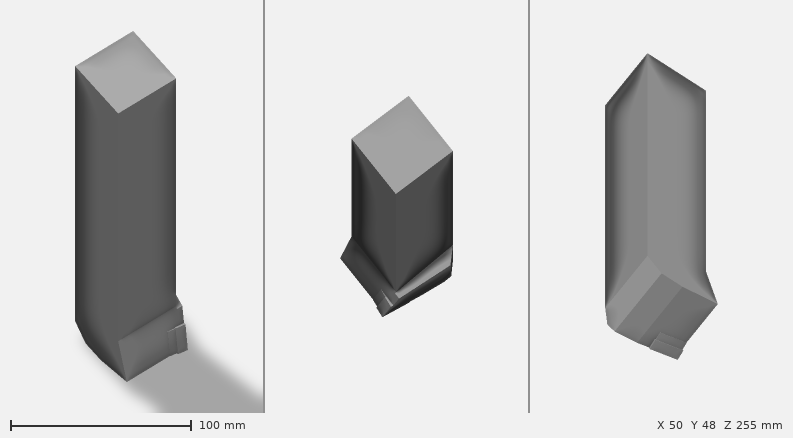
import cadquery as cq
import math

overall_length = 255.0
shank_size = 40.0
approach_angle = 15.0
slope = math.tan(math.radians(approach_angle))

corner_chamfer = 9.7
chamfer_height = 10.2
flank_start_z = 36.5
end_slope_start_x = 24.0

raised_top_z = 45.1
seat_y = 49.0
seat_fall_x = math.tan(math.radians(6.1))
seat_rise_z = math.tan(math.radians(4.2))

insert_size = 18.5
insert_thickness = 6.5
shim_thickness = 4.8
shim_setback = 0.5
cutting_corner_x = 50.0
cutting_corner_z = 5.0


def seat_height(x, z):
    """Y of the tilted seat plane at a given X and Z."""
    return seat_y - seat_fall_x * x + seat_rise_z * (z - raised_top_z)


head_corner_x = (shank_size + slope * (flank_start_z + slope * end_slope_start_x)) / (1 + slope**2)
head_corner_z = slope * (head_corner_x - end_slope_start_x)

cutting_corner = cq.Vector(
    cutting_corner_x, seat_height(cutting_corner_x, cutting_corner_z), cutting_corner_z
)
end_edge_run = cq.Vector(-1, seat_fall_x - seat_rise_z * slope, -slope)
seat_plane = cq.Plane(
    origin=cutting_corner,
    xDir=end_edge_run,
    normal=cq.Vector(seat_fall_x, 1, -seat_rise_z),
)


def extrude_xz(points, start_y, end_y):
    """Prism with an outline in XZ, running from start_y to end_y."""
    plane = cq.Workplane("XZ", origin=(0, start_y, 0))
    return plane.polyline(points).close().extrude(start_y - end_y)


def square_plate(size, thickness, setback, depth):
    """Square plate on the seat, its top face at the given depth below the seat plane."""
    return (
        cq.Workplane(seat_plane)
        .workplane(offset=-depth)
        .move(setback, setback)
        .rect(size, size, centered=False)
        .extrude(-thickness)
    )


def make_shank():
    outline = [
        (corner_chamfer, 0),
        (end_slope_start_x, 0),
        (head_corner_x, head_corner_z),
        (shank_size, flank_start_z),
        (shank_size, overall_length),
        (0, overall_length),
        (0, chamfer_height),
    ]
    return extrude_xz(outline, 0, shank_size)


def make_raised_block():
    """Block on the +Y side with a 45 degree side bevel and the tilted seat plane on top."""
    flank_top_x = (shank_size + slope * (flank_start_z - raised_top_z)) / (1 - slope**2)
    outline = [
        (corner_chamfer, 0),
        (end_slope_start_x, 0),
        (head_corner_x, head_corner_z),
        (flank_top_x, raised_top_z - slope * flank_top_x),
        (0, raised_top_z),
        (0, chamfer_height),
    ]
    block = extrude_xz(outline, shank_size, seat_y)
    bevel_rise = seat_y - shank_size
    bevel_cut = (
        cq.Workplane("XY")
        .polyline([(0, shank_size), (bevel_rise, seat_y), (0, seat_y)])
        .close()
        .extrude(raised_top_z)
    )
    above_seat = cq.Workplane(seat_plane).rect(overall_length, overall_length).extrude(shank_size)
    return block.cut(bevel_cut).cut(above_seat)


def make_insert():
    return square_plate(insert_size, insert_thickness, 0, 0)


def make_holder(insert):
    shim_size = insert_size - 2 * shim_setback
    shim_step = square_plate(shim_size, shim_thickness, shim_setback, insert_thickness)
    return make_shank().union(make_raised_block()).union(shim_step).cut(insert)


insert = make_insert()
holder = make_holder(insert)
result = cq.Compound.makeCompound([holder.solids().val(), insert.val()])